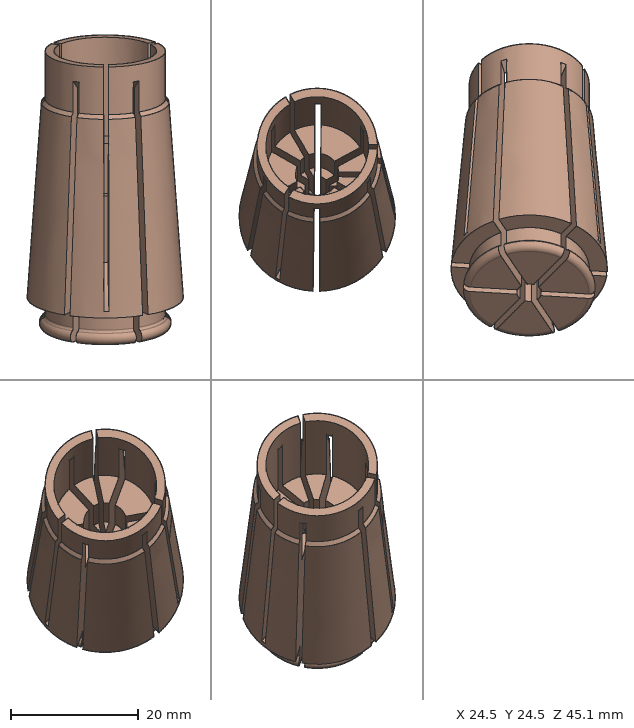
import cadquery as cq
import math

total_height = 45.1
cone_bottom_z = 5.1
cone_top_z = 36.75
sleeve_bottom_z = 37.35
counterbore_floor_z = 29.1
middle_bore_floor_z = 21.0

neck_radius = 9.43
cone_bottom_diameter = 24.5
cone_bottom_radius = cone_bottom_diameter / 2
cone_top_radius = 10.0

counterbore_radius = 8.05
middle_bore_radius = 3.4
clamping_bore_radius = 1.95

lip_outer_radius = 10.35
lip_round = 1.0
lip_fillet = 0.5

bottom_slot_count = 6
bottom_slot_first_angle = 30.0
bottom_slot_width = 1.0
bottom_slot_outer_end_z = 42.4

top_slot_count = 3
top_slot_first_angle = 60.0
top_slot_width = 0.75
saw_radius = 20.0
saw_center_radius = 15.65
saw_center_z = 25.8

overrun = 0.9
slot_reach = cone_bottom_radius + overrun


def make_body():
    """Revolve the outer outline, from the lip up to the plain sleeve."""
    lip_center_r = lip_outer_radius - lip_round
    lip_center_z = lip_round

    fillet_center_r = neck_radius + lip_fillet
    center_distance = lip_round + lip_fillet
    dr = fillet_center_r - lip_center_r
    dz = math.sqrt(center_distance**2 - dr**2)
    fillet_center_z = lip_center_z + dz
    tangent_r = lip_center_r + dr * lip_round / center_distance
    tangent_z = lip_center_z + dz * lip_round / center_distance
    fillet_mid_angle = math.pi + math.atan2(dz, dr) / 2
    fillet_mid = (
        fillet_center_r + lip_fillet * math.cos(fillet_mid_angle),
        fillet_center_z + lip_fillet * math.sin(fillet_mid_angle),
    )

    outline = (
        cq.Workplane("XZ")
        .moveTo(0, 0)
        .lineTo(lip_center_r, 0)
        .threePointArc((lip_outer_radius, lip_center_z), (tangent_r, tangent_z))
        .threePointArc(fillet_mid, (neck_radius, fillet_center_z))
        .lineTo(neck_radius, cone_bottom_z)
        .lineTo(cone_bottom_radius, cone_bottom_z)
        .lineTo(cone_top_radius, cone_top_z)
        .lineTo(neck_radius, sleeve_bottom_z)
        .lineTo(neck_radius, total_height)
        .lineTo(0, total_height)
        .close()
    )
    return outline.revolve(360, (0, 0, 0), (0, 1, 0))


def make_bore(radius, floor_z):
    """Round cutter from floor_z up through the top face."""
    height = total_height + overrun - floor_z
    return cq.Workplane("XY").workplane(offset=floor_z).circle(radius).extrude(height)


def make_bottom_slot():
    """Slot cutter along +X, from the axis outward and open at the bottom."""
    return (
        cq.Workplane("XZ")
        .moveTo(0, -overrun)
        .lineTo(slot_reach, -overrun)
        .lineTo(slot_reach, bottom_slot_outer_end_z + slot_reach - neck_radius)
        .lineTo(0, bottom_slot_outer_end_z - neck_radius)
        .close()
        .extrude(bottom_slot_width / 2, both=True)
    )


def saw_floor_point(radius):
    """Point on the saw-cut floor at the given distance from the part axis."""
    offset = saw_center_radius - radius
    return radius, saw_center_z - math.sqrt(saw_radius**2 - offset**2)


def make_top_slot():
    """Slot cutter along +X, from the axis outward and open at the top."""
    return (
        cq.Workplane("XZ")
        .moveTo(*saw_floor_point(0))
        .threePointArc(saw_floor_point(slot_reach / 2), saw_floor_point(slot_reach))
        .lineTo(slot_reach, total_height + overrun)
        .lineTo(0, total_height + overrun)
        .close()
        .extrude(top_slot_width / 2, both=True)
    )


def cut_slots(body, slot, count, first_angle):
    """Cut evenly spaced copies of a slot around the part axis."""
    for index in range(count):
        angle = first_angle + index * 360 / count
        body = body.cut(slot.rotate((0, 0, 0), (0, 0, 1), angle))
    return body


result = make_body()

result = result.cut(make_bore(counterbore_radius, counterbore_floor_z))
result = result.cut(make_bore(middle_bore_radius, middle_bore_floor_z))
result = result.cut(make_bore(clamping_bore_radius, -overrun))

result = cut_slots(result, make_bottom_slot(), bottom_slot_count, bottom_slot_first_angle)
result = cut_slots(result, make_top_slot(), top_slot_count, top_slot_first_angle)